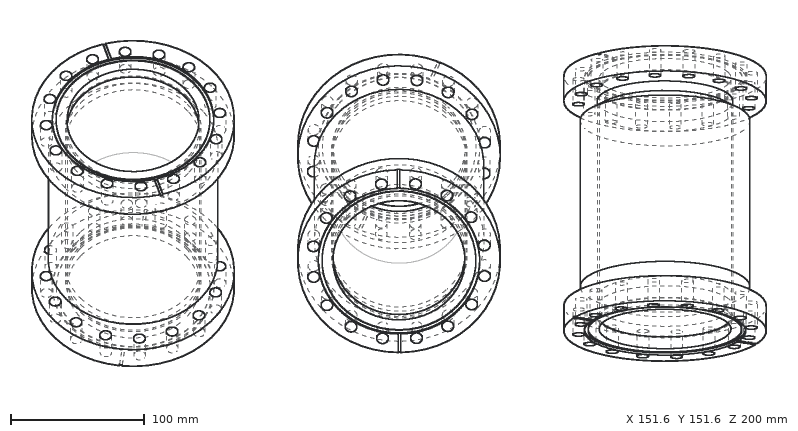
import cadquery as cq

overall_length = 200.0
flange_diameter = 151.6
flange_thickness = 19.8

bore_diameter = 98.8
tube_diameter = 101.6
tube_seat_depth = 9.0
tube_length = overall_length - 2 * (flange_thickness - tube_seat_depth)

sleeve_diameter = 127.0
taper_length = 7.5
flange_to_sleeve_gap = 7.5
sleeve_length = overall_length - 2 * (flange_thickness + flange_to_sleeve_gap)

bolt_count = 16
bolt_circle_diameter = 130.3
bolt_hole_diameter = 8.7
bolt_pitch_angle = 360.0 / bolt_count

recess_diameter = 120.8
knife_edge_diameter = 115.2
knife_edge_depth = 0.8
recess_wall_depth = 1.8
seal_floor_depth = 1.6

leak_groove_width = 2.0
leak_groove_depth = 1.0

top_groove_angle = -51.8
bottom_groove_angle = -75.3


def make_flange(groove_angle):
    """Flange with its sealing face at z = 0 and its body below."""
    bore_radius = bore_diameter / 2
    tube_radius = tube_diameter / 2
    profile = [
        (bore_radius, -seal_floor_depth),
        (knife_edge_diameter / 2, -seal_floor_depth),
        (knife_edge_diameter / 2, -knife_edge_depth),
        (recess_diameter / 2, -recess_wall_depth),
        (recess_diameter / 2, 0),
        (flange_diameter / 2, 0),
        (flange_diameter / 2, -flange_thickness),
        (tube_radius, -flange_thickness),
        (tube_radius, tube_seat_depth - flange_thickness),
        (bore_radius, tube_seat_depth - flange_thickness),
    ]
    flange = cq.Workplane("XZ").polyline(profile).close().revolve(360, (0, 0), (0, 1))

    bolt_holes = (
        cq.Workplane("XY")
        .workplane(offset=-flange_thickness)
        .polarArray(bolt_circle_diameter / 2, bolt_pitch_angle / 2, 360, bolt_count)
        .circle(bolt_hole_diameter / 2)
        .extrude(flange_thickness)
    )
    seal_recess = cq.Workplane("XY").circle(recess_diameter / 2).extrude(leak_groove_depth, both=True)
    leak_grooves = (
        cq.Workplane("XY")
        .box(flange_diameter, leak_groove_width, 2 * leak_groove_depth)
        .cut(seal_recess)
    )
    flange = flange.cut(bolt_holes).cut(leak_grooves)
    return flange.rotate((0, 0, 0), (0, 0, 1), groove_angle)


def make_tube():
    return (
        cq.Workplane("XY")
        .circle(tube_diameter / 2)
        .circle(bore_diameter / 2)
        .extrude(tube_length / 2, both=True)
    )


def make_sleeve():
    tube_radius = tube_diameter / 2
    sleeve_radius = sleeve_diameter / 2
    end = sleeve_length / 2
    shoulder = end - taper_length
    profile = [
        (tube_radius, -end),
        (sleeve_radius, -shoulder),
        (sleeve_radius, shoulder),
        (tube_radius, end),
    ]
    return cq.Workplane("XZ").polyline(profile).close().revolve(360, (0, 0), (0, 1))


top_flange = make_flange(top_groove_angle).translate((0, 0, overall_length / 2))
bottom_flange = (
    make_flange(-bottom_groove_angle)
    .rotate((0, 0, 0), (1, 0, 0), 180)
    .translate((0, 0, -overall_length / 2))
)
tube = make_tube()
sleeve = make_sleeve()

result = cq.Compound.makeCompound(
    [top_flange.val(), bottom_flange.val(), tube.val(), sleeve.val()]
)